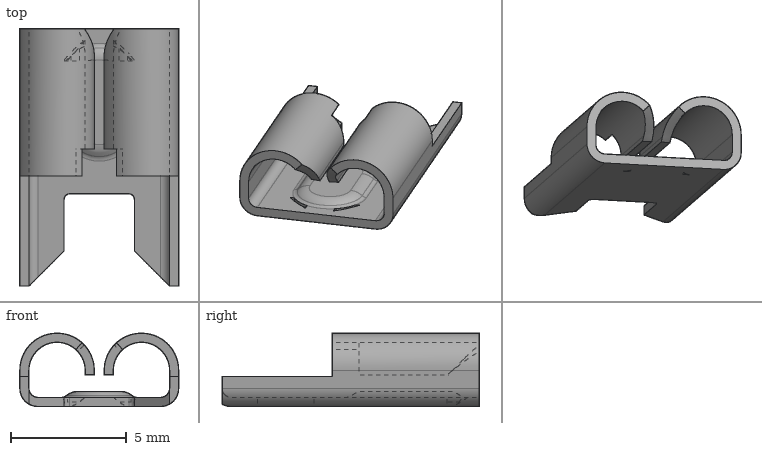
import math

import cadquery as cq


width = 6.86
length = 11.1
height = 3.17
thickness = 0.4

lip_gap = 0.42
lip_length = 0.19
bend_inner_radius = 0.39
bend_outer_radius = bend_inner_radius + thickness
half_width = width / 2
curl_outer_radius = (width - lip_gap) / 4
curl_inner_radius = curl_outer_radius - thickness
curl_x = half_width - curl_outer_radius
curl_z = height - curl_outer_radius

receptacle_length = 6.35
side_wall_height = 1.3

cut_clearance = 0.06
cut_low_angle = -25
relief_angle = 48
relief_depth = 1.15
lead_in_angle = 43
lead_in_end_angle = -9
lead_in_depth = 1.4

dimple_half_width = 1.62
dimple_half_length = 2.54
dimple_height = 0.26
dimple_foot_radius = 0.3
dimple_crown_radius = 0.8

opening_half_width = 1.51
opening_depth = 7.13
opening_corner_radius = 0.23


def folded_half():
    """Extruded half section: floor, corner bend, side wall, curl and lip."""
    wall_inside = half_width - thickness
    bend_x = half_width - bend_outer_radius
    lip_outside = curl_x - curl_outer_radius
    lip_inside = curl_x - curl_inner_radius
    lip_z = curl_z - lip_length
    mid_bend = math.cos(math.radians(45))
    outer_bend_mid = (
        bend_x + bend_outer_radius * mid_bend,
        bend_outer_radius - bend_outer_radius * mid_bend,
    )
    inner_bend_mid = (
        bend_x + bend_inner_radius * mid_bend,
        bend_outer_radius - bend_inner_radius * mid_bend,
    )
    return (
        cq.Workplane("XZ")
        .moveTo(0, 0)
        .lineTo(bend_x, 0)
        .threePointArc(outer_bend_mid, (half_width, bend_outer_radius))
        .lineTo(half_width, curl_z)
        .threePointArc((curl_x, height), (lip_outside, curl_z))
        .lineTo(lip_outside, lip_z)
        .lineTo(lip_inside, lip_z)
        .lineTo(lip_inside, curl_z)
        .threePointArc((curl_x, height - thickness), (wall_inside, curl_z))
        .lineTo(wall_inside, bend_outer_radius)
        .threePointArc(inner_bend_mid, (bend_x, thickness))
        .lineTo(0, thickness)
        .close()
        .extrude(length)
    )


def curl_edge_cutter(start_depth, cut_depth, high_angle, twist):
    """Ring sector around the curl axis, turned by `twist` degrees along its depth."""
    inner = curl_inner_radius - cut_clearance
    outer = curl_outer_radius + cut_clearance

    def at(radius, angle):
        turn = math.radians(angle)
        return (-radius * math.cos(turn), radius * math.sin(turn))

    middle_angle = (high_angle + cut_low_angle) / 2
    sector = (
        cq.Workplane("XZ", origin=(curl_x, -start_depth, curl_z))
        .moveTo(*at(inner, high_angle))
        .lineTo(*at(outer, high_angle))
        .threePointArc(at(outer, middle_angle), at(outer, cut_low_angle))
        .lineTo(*at(inner, cut_low_angle))
        .threePointArc(at(inner, middle_angle), at(inner, high_angle))
        .close()
    )
    if twist:
        return sector.twistExtrude(cut_depth, twist)
    return sector.extrude(cut_depth)


def low_wall_cutter():
    """Block that takes the curl off in front of the receptacle."""
    return cq.Workplane("XY").box(
        half_width, length - receptacle_length, height - side_wall_height, centered=False
    ).translate((0, -length, side_wall_height))


def floor_opening():
    """Square-backed opening that widens at 45 degrees to the inside of the side walls."""
    wall_inside = half_width - thickness
    flare_depth = length - (wall_inside - opening_half_width)
    return (
        cq.Workplane("XY")
        .moveTo(-opening_half_width, -opening_depth)
        .lineTo(opening_half_width, -opening_depth)
        .lineTo(opening_half_width, -flare_depth)
        .lineTo(wall_inside, -length)
        .lineTo(-wall_inside, -length)
        .lineTo(-opening_half_width, -flare_depth)
        .close()
        .extrude(side_wall_height)
        .edges("|Z and >Y")
        .fillet(opening_corner_radius)
    )


def dimple_section(plane):
    """Half section of the dimple: hollow foot running tangent into a rounded crown."""
    slope = math.acos(1 - dimple_height / (dimple_foot_radius + dimple_crown_radius))
    top = thickness + dimple_height
    crown_edge = dimple_half_width - (dimple_foot_radius + dimple_crown_radius) * math.sin(slope)

    def on_foot(angle):
        return (
            dimple_half_width - dimple_foot_radius * math.sin(angle),
            thickness + dimple_foot_radius * (1 - math.cos(angle)),
        )

    def on_crown(angle):
        return (
            crown_edge + dimple_crown_radius * math.sin(angle),
            top - dimple_crown_radius * (1 - math.cos(angle)),
        )

    floor_middle = thickness / 2
    return (
        plane.moveTo(0, floor_middle)
        .lineTo(dimple_half_width, floor_middle)
        .lineTo(dimple_half_width, thickness)
        .threePointArc(on_foot(slope / 2), on_foot(slope))
        .threePointArc(on_crown(slope / 2), (crown_edge, top))
        .lineTo(0, top)
        .close()
    )


def dimple():
    """Straight middle with a round end at each side, centred under the curls."""
    end_offset = dimple_half_length - dimple_half_width
    center_depth = receptacle_length / 2
    back = cq.Workplane("XZ", origin=(0, end_offset - center_depth, 0))
    half = dimple_section(back).extrude(2 * end_offset)
    body = half.union(half.mirror("YZ"))
    for offset in (-end_offset, end_offset):
        end = cq.Workplane("XZ", origin=(0, offset - center_depth, 0))
        body = body.union(dimple_section(end).revolve(360, (0, 0, 0), (0, 1, 0)))
    return body


relief = curl_edge_cutter(receptacle_length - relief_depth, relief_depth, relief_angle, 0)
lead_in = curl_edge_cutter(0, lead_in_depth, lead_in_angle, lead_in_angle - lead_in_end_angle)

right_half = folded_half().cut(low_wall_cutter()).cut(relief).cut(lead_in)
strip = right_half.union(right_half.mirror("YZ"))
result = strip.cut(floor_opening()).union(dimple()).clean()